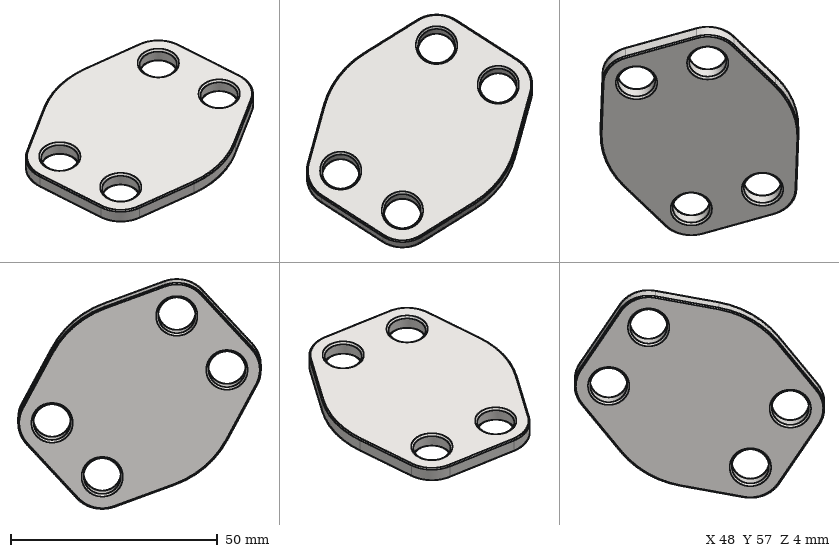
import cadquery as cq
import math

length = 57.0
width = 48.0
thickness = 4.0
hole_diameter = 9.0
hole_x = 9.1
hole_y = 20.25
edge_chamfer = 0.35
hole_chamfer = 0.5

side_radius = width / 2
corner_radius = length / 2 - hole_y

hole_distance = math.hypot(hole_x, hole_y)
flank_angle = math.atan2(hole_y, hole_x) - math.acos((side_radius - corner_radius) / hole_distance)


def corner_point(angle):
    """Point on the +X +Y corner arc at the given angle from +X."""
    return (
        hole_x + corner_radius * math.cos(angle),
        hole_y + corner_radius * math.sin(angle),
    )


def make_plate():
    """Plate with rounded corners, tangent flanks and bowed sides, chamfered all round."""
    side_x = side_radius * math.cos(flank_angle)
    side_y = side_radius * math.sin(flank_angle)
    corner_x, corner_y = corner_point(flank_angle)
    middle_x, middle_y = corner_point((flank_angle + math.pi / 2) / 2)
    end_y = length / 2
    outline = (
        cq.Workplane("XY")
        .moveTo(side_x, -side_y)
        .threePointArc((side_radius, 0), (side_x, side_y))
        .lineTo(corner_x, corner_y)
        .threePointArc((middle_x, middle_y), (hole_x, end_y))
        .lineTo(-hole_x, end_y)
        .threePointArc((-middle_x, middle_y), (-corner_x, corner_y))
        .lineTo(-side_x, side_y)
        .threePointArc((-side_radius, 0), (-side_x, -side_y))
        .lineTo(-corner_x, -corner_y)
        .threePointArc((-middle_x, -middle_y), (-hole_x, -end_y))
        .lineTo(hole_x, -end_y)
        .threePointArc((middle_x, -middle_y), (corner_x, -corner_y))
        .close()
    )
    return outline.extrude(thickness).faces("<Z or >Z").edges().chamfer(edge_chamfer)


def make_hole_cutter():
    """Through hole with a chamfered mouth at both faces, as a solid of revolution."""
    radius = hole_diameter / 2
    mouth_radius = radius + hole_chamfer
    return (
        cq.Workplane("XZ")
        .polyline([
            (0, 0),
            (mouth_radius, 0),
            (radius, hole_chamfer),
            (radius, thickness - hole_chamfer),
            (mouth_radius, thickness),
            (0, thickness),
        ])
        .close()
        .revolve(360, (0, 0), (0, 1))
    )


result = make_plate()
for x in (-hole_x, hole_x):
    for y in (-hole_y, hole_y):
        result = result.cut(make_hole_cutter().translate((x, y, 0)))